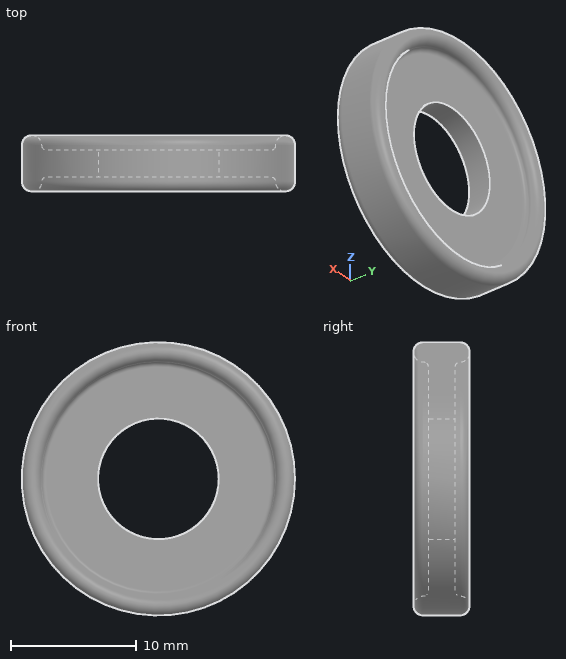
import cadquery as cq
import math

outer_diameter = 21.8
bore_diameter = 9.6
thickness = 4.5
rim_round = 0.78
floor_fillet = 0.4

outer_radius = outer_diameter / 2
bore_radius = bore_diameter / 2
rim_centre_radius = outer_radius - rim_round
recess_radius = rim_centre_radius - rim_round
floor_radius = recess_radius - floor_fillet

face_height = thickness / 2
round_start = face_height - rim_round
floor_height = round_start - floor_fillet

fillet_diagonal = floor_fillet * math.sqrt(0.5)
fillet_middle_radius = floor_radius + fillet_diagonal
fillet_middle_height = round_start - fillet_diagonal

section = (
    cq.Workplane("XY")
    .moveTo(bore_radius, -floor_height)
    .lineTo(floor_radius, -floor_height)
    .threePointArc((fillet_middle_radius, -fillet_middle_height), (recess_radius, -round_start))
    .threePointArc((rim_centre_radius, -face_height), (outer_radius, -round_start))
    .lineTo(outer_radius, round_start)
    .threePointArc((rim_centre_radius, face_height), (recess_radius, round_start))
    .threePointArc((fillet_middle_radius, fillet_middle_height), (floor_radius, floor_height))
    .lineTo(bore_radius, floor_height)
    .close()
)

result = section.revolve(360, (0, 0, 0), (0, 1, 0))